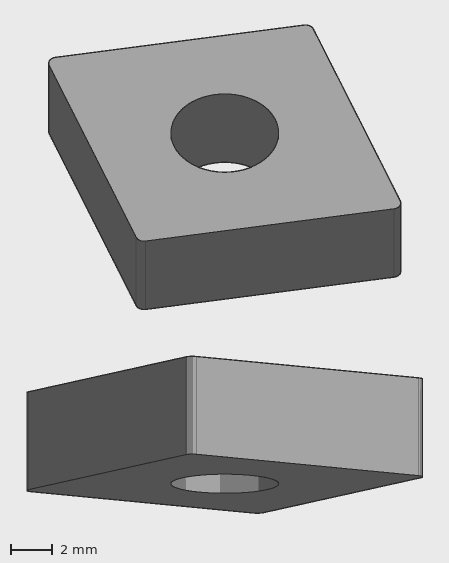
import cadquery as cq
import math

inscribed_diameter = 12.7
thickness = 4.76
nose_angle = 80.0
nose_radius = 0.4
hole_diameter = 5.16

nose_angle_rad = math.radians(nose_angle)
side_length = inscribed_diameter / math.sin(nose_angle_rad)
side_lean = inscribed_diameter / math.tan(nose_angle_rad)


def insert_body():
    """Rhombic prism centred on the Z axis, standing on Z = 0, with rounded corners."""
    half_height = inscribed_diameter / 2
    half_side = side_length / 2
    half_lean = side_lean / 2
    corners = [
        (-half_side - half_lean, -half_height),
        (half_side - half_lean, -half_height),
        (half_side + half_lean, half_height),
        (-half_side + half_lean, half_height),
    ]
    prism = cq.Workplane("XY").polyline(corners).close().extrude(thickness)
    return prism.edges("|Z").fillet(nose_radius)


def clamping_hole():
    """Cylinder through the full thickness at the centre of the rhombus."""
    return cq.Workplane("XY").circle(hole_diameter / 2).extrude(thickness)


result = insert_body().cut(clamping_hole())